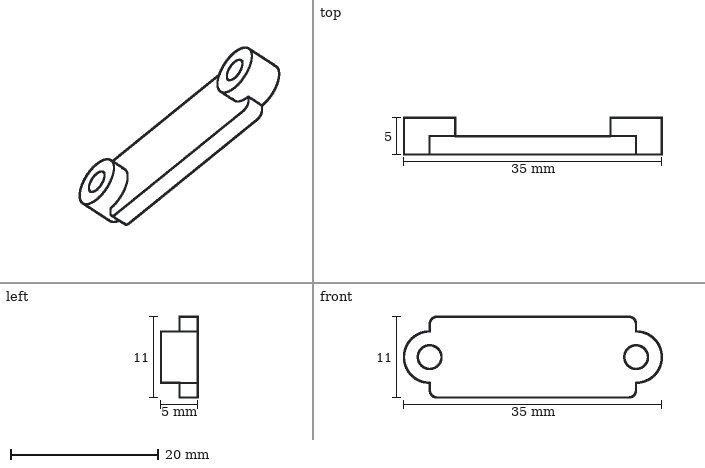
import cadquery as cq

total_length = 35.0
boss_diameter = 7.0
boss_depth = 5.0
hole_diameter = 3.2

plate_length = total_length - boss_diameter
plate_height = 11.0
plate_thickness = boss_depth / 2
corner_radius = 1.0

boss_centers = [(-plate_length / 2, 0), (plate_length / 2, 0)]


def extrude_back(profile, depth):
    """Extrude an XZ profile from the flat front face at Y = 0 toward +Y."""
    return profile.extrude(-depth)


plate = extrude_back(cq.Workplane("XZ").rect(plate_length, plate_height), plate_thickness)
plate = plate.edges("|Y").fillet(corner_radius)

bosses = extrude_back(cq.Workplane("XZ").pushPoints(boss_centers).circle(boss_diameter / 2), boss_depth)

holes = extrude_back(cq.Workplane("XZ").pushPoints(boss_centers).circle(hole_diameter / 2), boss_depth)

result = plate.union(bosses).cut(holes)